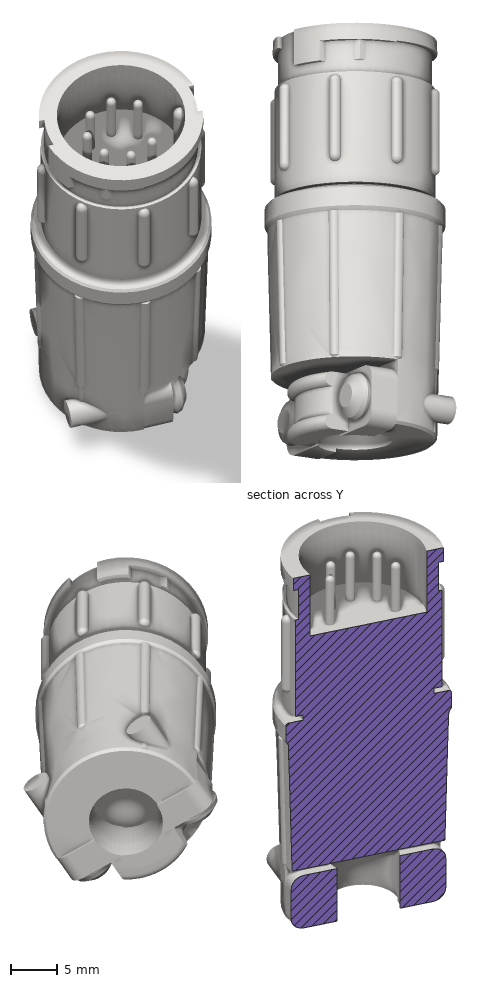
import cadquery as cq
import math

FULL_ROUND = 0.98

TOP_Z = 44.79
COLLAR_R = 8.32
FLANGE_R = 8.9
FLANGE_Z = 43.0
GAP_HALF_WIDTH = 1.77
STOP_END_X = 4.95
STOP_Z = 40.8
RAMP_LOW_Z = 43.12
RAMP_RISE = 0.39
RAMP_OVERRUN = 1.0
RAMP_HALF_DEPTH = 2.5
RAMP_END_Y = math.sqrt(FLANGE_R**2 - GAP_HALF_WIDTH**2)
DETENT_X = (7.05, 7.67)
DETENT_ROOT_Y = 3.0
DETENT_PEAK_Y = 3.93
DETENT_Z = 40.85
BORE_R = 6.95
BORE_FLOOR_Z = 37.03

PIN_CIRCLE_R = 3.81
PIN_R = 0.51
PIN_TIP_Z = 43.0
PIN_ANGLES = (0, 45, 135, 180, 225, 270, 315)
KEY_Y = 6.68
KEY_R = 0.76
KEY_TIP_Z = 43.4

RING_R = 8.7
RING_Z = (27.1, 39.44)
RING_RIB_R = 0.64
RING_RIB_OUTER_R = 9.43
RING_RIB_Z = (29.45, 39.1)
RIB_COUNT = 8
NECK_R = 7.79

SHOULDER_R = 9.78
SHOULDER_Z = (23.75, 26.5)
SHOULDER_EDGE = 0.25
SHOULDER_LIP = 0.45
BODY_TOP_R = 9.5
BODY_BOTTOM_R = 8.9
BODY_Z = 0.4
BODY_EDGE = 0.3
HALF_Z = 7.5
BODY_RIB_R = 0.64
BODY_RIB_SINK = 0.37
THIN_RIB_SINK = 0.56
BODY_RIB_EDGE = 0.3
THIN_RIB_ANGLES = (225, 315)

CLAMP_Z = (0.0, 6.74)
CLAMP_MID_Z = sum(CLAMP_Z) / 2
CLAMP_HALF_WIDTH = 9.0
CLAMP_BAR_Y = 3.25
CLAMP_CORNER_R = 1.55
CABLE_R = 4.0
WEB_R = 6.56
RIDGE_R = 7.33
RIDGE_THICKNESS = 1.64
RIDGE_SPACING = 4.76
SCREW_X = 6.57
SCREW_R = 1.52
SCREW_TIP_Y = -7.94
HEAD_R = 2.58
HEAD_BASE_R = 2.35
HEAD_RIM_Y = 3.8
HEAD_CONE_R = 2.37
HEAD_CONE_Y = 4.37
HEAD_TOP_R = 1.3
HEAD_TOP_Y = 5.08


def disc(radius, z_low, z_high):
    return cq.Workplane("XY").workplane(offset=z_low).circle(radius).extrude(z_high - z_low)


def block(x_range, y_range, z_range):
    (x0, x1), (y0, y1), (z0, z1) = x_range, y_range, z_range
    return cq.Workplane("XY").box(x1 - x0, y1 - y0, z1 - z0, centered=False).translate((x0, y0, z0))


def half_turn(shape):
    return shape.rotate((0, 0, 0), (0, 0, 1), 180)


def body_radius(z):
    """Radius of the tapered body at height z."""
    share = (z - BODY_Z) / (SHOULDER_Z[0] - BODY_Z)
    return BODY_BOTTOM_R + share * (BODY_TOP_R - BODY_BOTTOM_R)


def domed_pin(x, y, radius, tip_z):
    """Contact with a rounded tip, standing on the bore floor."""
    pin = disc(radius, BORE_FLOOR_Z - radius, tip_z).faces(">Z").edges().fillet(FULL_ROUND * radius)
    return pin.translate((x, y, 0))


def ramp_cut():
    """Wedge under one half of the flange, rising toward the flange gap."""
    start = (-FLANGE_R, 0)
    end = (-GAP_HALF_WIDTH, -RAMP_END_Y)
    length = math.dist(start, end)
    run = length + RAMP_OVERRUN
    end_z = RAMP_LOW_Z + RAMP_RISE * run / length
    heading = math.degrees(math.atan2(end[1] - start[1], end[0] - start[0]))
    wedge = (
        cq.Workplane("XZ")
        .polyline([(0, FLANGE_Z), (0, RAMP_LOW_Z), (run, end_z), (run, FLANGE_Z)])
        .close()
        .extrude(RAMP_HALF_DEPTH, both=True)
    )
    return wedge.rotate((0, 0, 0), (0, 0, 1), heading).translate((start[0], start[1], 0))


def make_detent():
    """Small tooth on the collar, sloping down into the collar surface."""
    x_low, x_peak = DETENT_X
    low_y = math.sqrt(COLLAR_R**2 - x_low**2)
    outline = [(x_low, -DETENT_ROOT_Y), (x_low, -low_y), (x_peak, -DETENT_PEAK_Y), (x_peak, -DETENT_ROOT_Y)]
    tooth = cq.Workplane("XY").polyline(outline).close().extrude(FLANGE_Z - DETENT_Z)
    return tooth.translate((0, 0, DETENT_Z))


def make_collar():
    full_band = disc(FLANGE_R, STOP_Z, TOP_Z)
    gap = block((-GAP_HALF_WIDTH, GAP_HALF_WIDTH), (-FLANGE_R, 0), (STOP_Z, TOP_Z))
    stop = full_band.intersect(
        block((GAP_HALF_WIDTH, STOP_END_X), (-FLANGE_R, -FLANGE_R / 2), (STOP_Z, TOP_Z))
    )
    detent = make_detent()

    collar = disc(FLANGE_R, FLANGE_Z, TOP_Z)
    for cut in (gap, ramp_cut()):
        collar = collar.cut(cut).cut(half_turn(cut))
    collar = collar.union(disc(COLLAR_R, RING_Z[1], TOP_Z))
    for added in (stop, detent):
        collar = collar.union(added).union(half_turn(added))
    return collar


def make_ring():
    ring = disc(RING_R, *RING_Z)
    rib = disc(RING_RIB_R, *RING_RIB_Z).edges().fillet(FULL_ROUND * RING_RIB_R)
    rib = rib.translate((RING_RIB_OUTER_R - RING_RIB_R, 0, 0))
    for i in range(RIB_COUNT):
        ring = ring.union(rib.rotate((0, 0, 0), (0, 0, 1), i * 360 / RIB_COUNT))
    return ring.union(disc(NECK_R, SHOULDER_Z[1], RING_Z[0]))


def body_rib(z_low, sink, angle, edge):
    """Round rib that follows the body taper at the given angle."""
    low = cq.Vector(body_radius(z_low) - sink, 0, z_low)
    high = cq.Vector(body_radius(SHOULDER_Z[0]) - sink, 0, SHOULDER_Z[0])
    axis = high - low
    rib = cq.Workplane(cq.Plane(low, normal=axis)).circle(BODY_RIB_R).extrude(axis.Length)
    if edge:
        rib = rib.faces("<Z").edges().chamfer(edge)
    return rib.rotate((0, 0, 0), (0, 0, 1), angle)


def make_body():
    z_low, z_high = SHOULDER_Z
    outline = [
        (0, BODY_Z),
        (BODY_BOTTOM_R - BODY_EDGE, BODY_Z),
        (BODY_BOTTOM_R, BODY_Z + BODY_EDGE),
        (BODY_TOP_R, z_low),
        (SHOULDER_R, z_low + SHOULDER_LIP),
        (SHOULDER_R, z_high - SHOULDER_EDGE),
        (SHOULDER_R - SHOULDER_EDGE, z_high),
        (0, z_high),
    ]
    body = cq.Workplane("XZ").polyline(outline).close().revolve(360, (0, 0, 0), (0, 1, 0))
    reach = 2 * SHOULDER_R
    body = body.cut(block((-reach, reach), (0, reach), (0, HALF_Z)))
    for i in range(RIB_COUNT):
        body = body.union(body_rib(HALF_Z, BODY_RIB_SINK, i * 360 / RIB_COUNT, BODY_RIB_EDGE))
    for angle in THIN_RIB_ANGLES:
        body = body.union(body_rib(BODY_Z + BODY_EDGE, THIN_RIB_SINK, angle, 0))
    return body


def make_clamp():
    bar = block((-CLAMP_HALF_WIDTH, CLAMP_HALF_WIDTH), (0, CLAMP_BAR_Y), CLAMP_Z)
    bar = bar.edges("|Y").fillet(CLAMP_CORNER_R)
    ridge_half = RIDGE_SPACING / 2
    arch_half = ridge_half + RIDGE_THICKNESS / 2
    arch = disc(WEB_R, CLAMP_MID_Z - arch_half, CLAMP_MID_Z + arch_half)
    ridge = disc(RIDGE_R, -RIDGE_THICKNESS / 2, RIDGE_THICKNESS / 2)
    ridge = ridge.edges().fillet(FULL_ROUND * RIDGE_THICKNESS / 2)
    for offset in (-ridge_half, ridge_half):
        arch = arch.union(ridge.translate((0, 0, CLAMP_MID_Z + offset)))
    return bar.union(arch.intersect(block((-CABLE_R, CABLE_R), (0, RIDGE_R), CLAMP_Z)))


def make_screw(x):
    """Clamp screw along Y with a tapered head resting on the clamp bar."""
    profile = (
        cq.Workplane("XY")
        .moveTo(0, SCREW_TIP_Y)
        .lineTo(SCREW_R, SCREW_TIP_Y)
        .lineTo(SCREW_R, CLAMP_BAR_Y)
        .lineTo(HEAD_BASE_R, CLAMP_BAR_Y)
        .lineTo(HEAD_R, HEAD_RIM_Y)
        .lineTo(HEAD_CONE_R, HEAD_CONE_Y)
        .lineTo(HEAD_TOP_R, HEAD_TOP_Y)
        .lineTo(0, HEAD_TOP_Y)
        .close()
    )
    return profile.revolve(360, (0, 0, 0), (0, 1, 0)).translate((x, 0, CLAMP_MID_Z))


shell = make_collar().union(make_ring()).cut(disc(BORE_R, BORE_FLOOR_Z, TOP_Z))
for pin_angle in PIN_ANGLES:
    pin_x = PIN_CIRCLE_R * math.cos(math.radians(pin_angle))
    pin_y = PIN_CIRCLE_R * math.sin(math.radians(pin_angle))
    shell = shell.union(domed_pin(pin_x, pin_y, PIN_R, PIN_TIP_Z))
shell = shell.union(domed_pin(0, KEY_Y, KEY_R, KEY_TIP_Z))

cable_end = make_body().union(make_clamp()).cut(disc(CABLE_R, 0, HALF_Z))
for side in (-1, 1):
    cable_end = cable_end.union(make_screw(side * SCREW_X))

result = cable_end.union(shell)